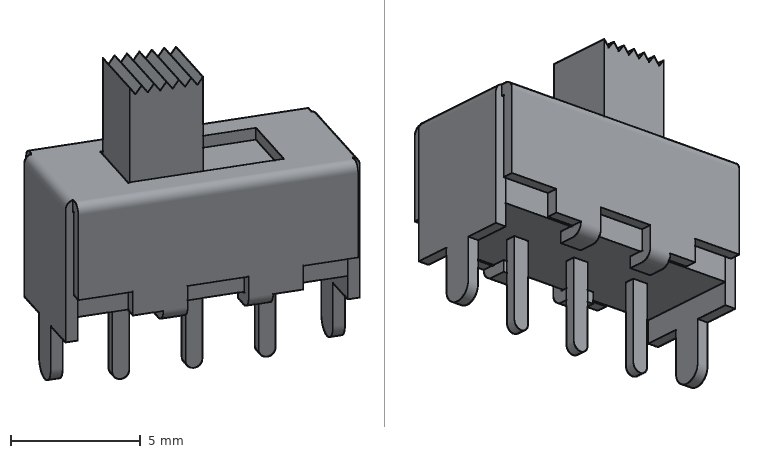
import cadquery as cq


COVER_WIDTH = 5.8
COVER_LENGTH = 12.1
SHEET = 0.5
BEND_RADIUS = 0.4
END_PLATE_WIDTH = 4.6
END_PLATE_DEPTH = 6.0
SIDE_PLATE_LENGTH = 11.5
SIDE_PLATE_DEPTH = 4.0

LEG_WIDTH = 1.3
LEG_DEPTH = 8.51

TAB_LENGTH = 7.0
NOTCH_LENGTH = 2.5
NOTCH_DEPTH = 4.1
HOOK_LENGTH = 1.0
HOOK_REACH = 1.2

BODY_WIDTH = 4.59
BODY_LENGTH = COVER_LENGTH - 2 * SHEET
BODY_DEPTH = 5.0

SLOT_WIDTH = 3.1
SLOT_LENGTH = 6.4
HANDLE_SIZE = 3.0
HANDLE_HEIGHT = 4.0
HANDLE_CLEARANCE = 0.09
HANDLE_Y = -SLOT_LENGTH / 2 + HANDLE_CLEARANCE + HANDLE_SIZE / 2
GROOVE_COUNT = 6
GROOVE_OVERHANG = 0.03
GROOVE_PITCH = (HANDLE_SIZE + 2 * GROOVE_OVERHANG) / GROOVE_COUNT
GROOVE_DEPTH = 0.34

PIN_COUNT = 3
PIN_PITCH = 3.0
PIN_WIDTH = 0.7
PIN_THICKNESS = 0.45
PIN_DEPTH = 8.9


def block(width, length, top, bottom, x=0, y=0):
    """Box centred on (x, y) that spans the heights from bottom to top."""
    height = top - bottom
    return cq.Workplane("XY").box(width, length, height).translate((x, y, (top + bottom) / 2))


def round_ended_strip(plane, width, thickness, top, bottom):
    """Flat strip hanging down the plane's middle, with a fully rounded lower end."""
    radius = width / 2
    return (
        cq.Workplane(plane)
        .moveTo(-radius, top)
        .lineTo(-radius, bottom + radius)
        .threePointArc((0, bottom), (radius, bottom + radius))
        .lineTo(radius, top)
        .close()
        .extrude(thickness / 2, both=True)
    )


def make_cover():
    cover = block(COVER_WIDTH, COVER_LENGTH, 0, -END_PLATE_DEPTH).faces(">Z").edges().fillet(BEND_RADIUS)
    cover = cover.cut(block(COVER_WIDTH - 2 * SHEET, BODY_LENGTH, -SHEET, -END_PLATE_DEPTH))

    corner_width = (COVER_WIDTH - END_PLATE_WIDTH) / 2
    corner_length = (COVER_LENGTH - SIDE_PLATE_LENGTH) / 2
    for x_side in (-1, 1):
        for y_side in (-1, 1):
            x = x_side * (COVER_WIDTH - corner_width) / 2
            y = y_side * (COVER_LENGTH - corner_length) / 2
            cover = cover.cut(block(corner_width, corner_length, 0, -END_PLATE_DEPTH, x, y))

    gap = corner_width - SHEET
    for side in (-1, 1):
        x = side * (END_PLATE_WIDTH + gap) / 2
        cover = cover.cut(block(gap, COVER_LENGTH, -SHEET, -END_PLATE_DEPTH, x))

    for side in (-1, 1):
        x = side * (COVER_WIDTH - SHEET) / 2
        cover = cover.cut(block(SHEET, SIDE_PLATE_LENGTH, -SIDE_PLATE_DEPTH, -END_PLATE_DEPTH, x))
        tab = block(SHEET, TAB_LENGTH, -SIDE_PLATE_DEPTH, -BODY_DEPTH, x)
        notch = block(SHEET, NOTCH_LENGTH, -NOTCH_DEPTH, -BODY_DEPTH, x)
        cover = cover.union(tab.cut(notch))

    return cover.cut(block(SLOT_WIDTH, SLOT_LENGTH, 0, -SHEET))


def make_hook(x_side, y_side):
    """Hook at the bottom of a tab, its outer lower edge rounded over the sheet thickness."""
    x = x_side * (COVER_WIDTH - HOOK_REACH) / 2
    y = y_side * (NOTCH_LENGTH + HOOK_LENGTH) / 2
    blank = block(HOOK_REACH, HOOK_LENGTH, -BODY_DEPTH + SHEET, -BODY_DEPTH - SHEET, x, y)
    outer_face = ">X" if x_side > 0 else "<X"
    rounded = blank.faces(outer_face).edges("<Z").fillet(SHEET)
    return rounded.intersect(block(HOOK_REACH, HOOK_LENGTH, -BODY_DEPTH, -BODY_DEPTH - SHEET, x, y))


def make_leg(y_side):
    leg = round_ended_strip("XZ", LEG_WIDTH, SHEET, -END_PLATE_DEPTH, -LEG_DEPTH)
    return leg.translate((0, y_side * (COVER_LENGTH - SHEET) / 2, 0))


def make_handle():
    handle = block(HANDLE_SIZE, HANDLE_SIZE, HANDLE_HEIGHT, -SHEET, 0, HANDLE_Y)
    groove = (
        cq.Workplane("YZ")
        .moveTo(-GROOVE_PITCH / 2, HANDLE_HEIGHT)
        .lineTo(0, HANDLE_HEIGHT - GROOVE_DEPTH)
        .lineTo(GROOVE_PITCH / 2, HANDLE_HEIGHT)
        .close()
        .extrude(HANDLE_SIZE / 2, both=True)
    )
    for i in range(GROOVE_COUNT):
        y = HANDLE_Y + (i - (GROOVE_COUNT - 1) / 2) * GROOVE_PITCH
        handle = handle.cut(groove.translate((0, y, 0)))
    return handle


def make_pin(y):
    return round_ended_strip("YZ", PIN_WIDTH, PIN_THICKNESS, -BODY_DEPTH, -PIN_DEPTH).translate((0, y, 0))


result = make_cover()
result = result.union(block(BODY_WIDTH, BODY_LENGTH, -SHEET, -BODY_DEPTH))
result = result.union(make_handle())

for y_side in (-1, 1):
    result = result.union(make_leg(y_side))
    for x_side in (-1, 1):
        result = result.union(make_hook(x_side, y_side))

for i in range(PIN_COUNT):
    result = result.union(make_pin((i - (PIN_COUNT - 1) / 2) * PIN_PITCH))